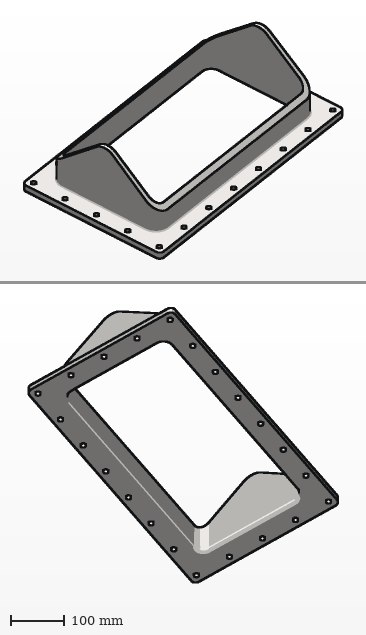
import cadquery as cq
import math

plate_x = 333.0
plate_y = 550.0
plate_thickness = 15.0
plate_corner_radius = 10.0

hole_diameter = 10.0
hole_inset = 15.5
holes_along_x = 5
holes_along_y = 8

total_height = 160.5
opening_x = 235.0
opening_y = 450.0
wall_thickness = 12.5
inner_corner_radius = 20.0
outer_corner_radius = 30.0
draft_angle = 1.0
base_fillet_radius = 5.0
rim_fillet_radius = 10.0

slope_angle = math.radians(40)
ridge_radius = 30.0


def rounded_block(size_x, size_y, height, radius):
    """Block standing on Z = 0 with rounded vertical edges."""
    block = cq.Workplane("XY").rect(size_x, size_y).extrude(height)
    return block.edges("|Z").fillet(radius)


def drafted_collar():
    """Solid collar that narrows slightly towards the top."""
    outline = cq.Sketch().rect(opening_x + 2 * wall_thickness, opening_y + 2 * wall_thickness)
    outline = outline.vertices().fillet(outer_corner_radius)
    collar = cq.Workplane("XY").workplane(offset=plate_thickness).placeSketch(outline)
    return collar.extrude(total_height - plate_thickness, taper=draft_angle)


def gable_envelope():
    """Prism along Y whose top is the gable profile."""
    half_width = plate_x / 2
    tangent_x = ridge_radius * math.sin(slope_angle)
    tangent_z = total_height - ridge_radius * (1 - math.cos(slope_angle))
    eave_z = tangent_z - (half_width - tangent_x) * math.tan(slope_angle)
    profile = (
        cq.Workplane("XZ")
        .moveTo(-half_width, 0)
        .lineTo(half_width, 0)
        .lineTo(half_width, eave_z)
        .lineTo(tangent_x, tangent_z)
        .threePointArc((0, total_height), (-tangent_x, tangent_z))
        .lineTo(-half_width, eave_z)
        .close()
    )
    return profile.extrude(plate_y / 2, both=True)


def bolt_hole_points():
    """Evenly spaced hole centres along the four flange edges."""
    span_x = plate_x - 2 * hole_inset
    span_y = plate_y - 2 * hole_inset
    points = []
    for i in range(holes_along_x):
        for j in range(holes_along_y):
            if i in (0, holes_along_x - 1) or j in (0, holes_along_y - 1):
                x = -span_x / 2 + i * span_x / (holes_along_x - 1)
                y = -span_y / 2 + j * span_y / (holes_along_y - 1)
                points.append((x, y))
    return points


plate = rounded_block(plate_x, plate_y, plate_thickness, plate_corner_radius)
body = plate.union(drafted_collar().intersect(gable_envelope()))

flange_top = body.faces("+Z").faces("<Z")
collar_foot = flange_top.val().innerWires()[0]
body = body.newObject(collar_foot.Edges()).fillet(base_fillet_radius)

opening = rounded_block(opening_x, opening_y, total_height, inner_corner_radius)
bolt_holes = (
    cq.Workplane("XY").pushPoints(bolt_hole_points()).circle(hole_diameter / 2).extrude(plate_thickness)
)
body = body.cut(opening)

opening_rim = body.faces("<Z").val().innerWires()[0]
body = body.newObject(opening_rim.Edges()).fillet(rim_fillet_radius)

result = body.cut(bolt_holes)